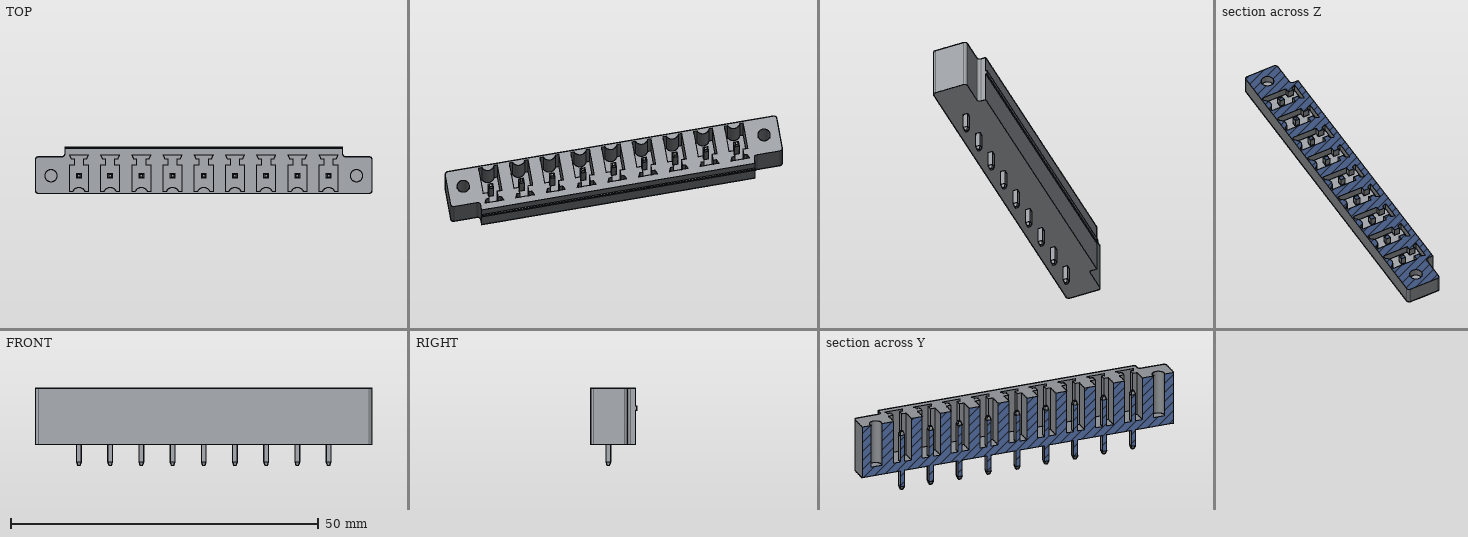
import cadquery as cq

PIN_COUNT = 9
PIN_PITCH = 5.08
END_MARGIN = 7.1
HOUSING_LENGTH = (PIN_COUNT - 1) * PIN_PITCH + 2 * END_MARGIN
HOUSING_HEIGHT = 9.2
FLANGE_DEPTH = 6.0
BODY_DEPTH = 7.35
FLANGE_LENGTH = 4.8
CORNER_RADIUS = 0.5

TOTAL_DEPTH = 7.55
RIB_HEIGHT = 0.7
RIB_CENTER_Z = HOUSING_HEIGHT - 3.25

ROW_Y = 2.9
SCREW_HOLE_DIAMETER = 2.0
SCREW_HOLE_INSET = 2.55
SCREW_HOLE_DEPTH = 7.5

POCKET_FLOOR_Z = 1.7
POCKET_WIDTH = 3.1
POCKET_FRONT_Y = 0.32
POCKET_SHOULDER_Y = 4.65
NECK_WIDTH = 1.5
NECK_BACK_Y = 5.65
DOVETAIL_WIDTH = 2.5
POCKET_BACK_Y = 6.3
KEY_WIDTH = 2.0
KEY_HEIGHT = 0.67

PIN_WIDTH = 0.8
PIN_TIP_WIDTH = 0.4
PIN_TAPER = 0.6
PIN_LENGTH_BELOW = 3.4
PIN_TOP_Z = 7.0

half_length = HOUSING_LENGTH / 2
pin_positions = [((i - (PIN_COUNT - 1) / 2) * PIN_PITCH, ROW_Y) for i in range(PIN_COUNT)]


def make_housing():
    """Block with a shallower flange at each end."""
    half_body = half_length - FLANGE_LENGTH
    block = (
        cq.Workplane("XY")
        .moveTo(-half_length, 0)
        .lineTo(half_length, 0)
        .lineTo(half_length, FLANGE_DEPTH)
        .lineTo(half_body, FLANGE_DEPTH)
        .lineTo(half_body, BODY_DEPTH)
        .lineTo(-half_body, BODY_DEPTH)
        .lineTo(-half_body, FLANGE_DEPTH)
        .lineTo(-half_length, FLANGE_DEPTH)
        .close()
        .extrude(HOUSING_HEIGHT)
    )
    back_edges = cq.selectors.BoxSelector(
        (-HOUSING_LENGTH, FLANGE_DEPTH + CORNER_RADIUS, 0),
        (HOUSING_LENGTH, TOTAL_DEPTH, HOUSING_HEIGHT),
    )
    upright_edges = cq.selectors.ParallelDirSelector(cq.Vector(0, 0, 1))
    rounded_edges = cq.selectors.SubtractSelector(upright_edges, back_edges)
    return block.edges(rounded_edges).fillet(CORNER_RADIUS)


def make_rib():
    """Low rectangular rib running the length of the back face."""
    length = HOUSING_LENGTH - 2 * FLANGE_LENGTH
    depth = TOTAL_DEPTH - FLANGE_DEPTH
    center = (0, FLANGE_DEPTH + depth / 2, RIB_CENTER_Z)
    return cq.Workplane("XY").box(length, depth, RIB_HEIGHT).translate(center)


def make_pocket(x):
    """Cutter for one contact pocket: wide front, narrow neck, dovetail at the back."""
    half_width = POCKET_WIDTH / 2
    half_neck = NECK_WIDTH / 2
    half_dovetail = DOVETAIL_WIDTH / 2
    half_key = KEY_WIDTH / 2
    return (
        cq.Workplane("XY", origin=(x, 0, POCKET_FLOOR_Z))
        .moveTo(-half_width, POCKET_FRONT_Y)
        .lineTo(-half_key, POCKET_FRONT_Y)
        .threePointArc((0, POCKET_FRONT_Y + KEY_HEIGHT), (half_key, POCKET_FRONT_Y))
        .lineTo(half_width, POCKET_FRONT_Y)
        .lineTo(half_width, POCKET_SHOULDER_Y)
        .lineTo(half_neck, POCKET_SHOULDER_Y)
        .lineTo(half_neck, NECK_BACK_Y)
        .lineTo(half_dovetail, NECK_BACK_Y)
        .lineTo(half_width, POCKET_BACK_Y)
        .lineTo(-half_width, POCKET_BACK_Y)
        .lineTo(-half_dovetail, NECK_BACK_Y)
        .lineTo(-half_neck, NECK_BACK_Y)
        .lineTo(-half_neck, POCKET_SHOULDER_Y)
        .lineTo(-half_width, POCKET_SHOULDER_Y)
        .close()
        .extrude(HOUSING_HEIGHT - POCKET_FLOOR_Z)
    )


def make_pin_tip(shank_end_z, direction):
    """Tapered pin end on the Z axis; direction is 1 for up and -1 for down."""
    return (
        cq.Workplane("XY", origin=(0, 0, shank_end_z))
        .rect(PIN_WIDTH, PIN_WIDTH)
        .workplane(offset=direction * PIN_TAPER)
        .rect(PIN_TIP_WIDTH, PIN_TIP_WIDTH)
        .loft()
    )


def make_pin(x, y):
    """Square pin from its lower tip to its tip inside the pocket."""
    shank_bottom = PIN_TAPER - PIN_LENGTH_BELOW
    shank_top = PIN_TOP_Z - PIN_TAPER
    shank = (
        cq.Workplane("XY", origin=(0, 0, shank_bottom))
        .rect(PIN_WIDTH, PIN_WIDTH)
        .extrude(shank_top - shank_bottom)
    )
    pin = shank.union(make_pin_tip(shank_top, 1)).union(make_pin_tip(shank_bottom, -1))
    return pin.translate((x, y, 0))


def make_screw_holes():
    """Cutter for the blind round hole in each flange."""
    hole_x = half_length - SCREW_HOLE_INSET
    return (
        cq.Workplane("XY", origin=(0, 0, HOUSING_HEIGHT))
        .pushPoints([(-hole_x, ROW_Y), (hole_x, ROW_Y)])
        .circle(SCREW_HOLE_DIAMETER / 2)
        .extrude(-SCREW_HOLE_DEPTH)
    )


result = make_housing().union(make_rib()).cut(make_screw_holes())
for pin_x, pin_y in pin_positions:
    result = result.cut(make_pocket(pin_x))
    result = result.union(make_pin(pin_x, pin_y))